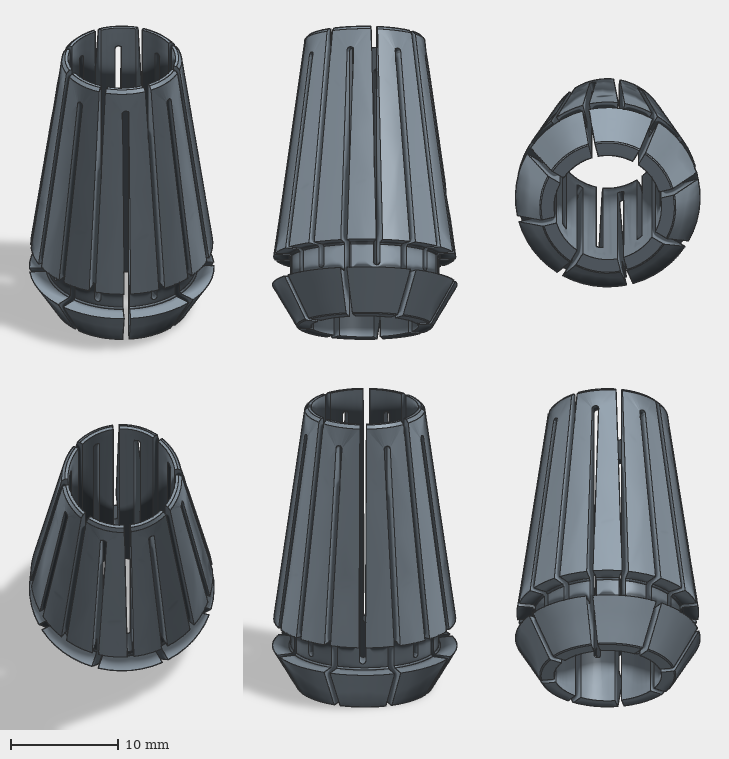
import cadquery as cq
import math

total_height = 27.5
bore_radius = 10.0 / 2

head_height = 3.95
head_rim_radius = 17.25 / 2
base_radius = 6.3
base_edge_break = 0.08

groove_top = 6.63
groove_radius = 13.83 / 2
groove_corner = 0.16

taper_bottom_radius = 8.5
taper_angle = 8.0
top_chamfer_height = 0.3
top_face_radius = 5.3

slots_per_end = 8
slot_width = 0.6
lower_slot_end = 25.46
upper_slot_end = 4.5

slot_pitch = 360.0 / slots_per_end
cutter_overrun = 0.28
slot_length = head_rim_radius + cutter_overrun


def make_body():
    """Revolve the half section of the collet about Z."""
    head_slope = (head_rim_radius - base_radius) / head_height
    taper_slope = math.tan(math.radians(taper_angle))
    chamfer_start = total_height - top_chamfer_height
    taper_top_radius = taper_bottom_radius - (chamfer_start - groove_top) * taper_slope
    section = (
        cq.Workplane("XZ")
        .moveTo(bore_radius, 0)
        .lineTo(base_radius - base_edge_break, 0)
        .lineTo(base_radius + base_edge_break * head_slope, base_edge_break)
        .lineTo(head_rim_radius, head_height)
        .lineTo(groove_radius + groove_corner, head_height)
        .radiusArc((groove_radius, head_height + groove_corner), -groove_corner)
        .lineTo(groove_radius, groove_top - groove_corner)
        .radiusArc((groove_radius + groove_corner, groove_top), -groove_corner)
        .lineTo(taper_bottom_radius, groove_top)
        .lineTo(taper_top_radius, chamfer_start)
        .lineTo(top_face_radius, total_height)
        .lineTo(bore_radius, total_height)
        .close()
    )
    return section.revolve(360, (0, 0), (0, 1))


def make_slot(round_end, open_end, angle):
    """Radial cutter along one angle, from a half-round end to an open end."""
    half_width = slot_width / 2
    toward_open = math.copysign(1, open_end - round_end)
    arc_center = round_end + toward_open * half_width
    return (
        cq.Workplane("YZ")
        .moveTo(-half_width, open_end)
        .lineTo(-half_width, arc_center)
        .threePointArc((0, round_end), (half_width, arc_center))
        .lineTo(half_width, open_end)
        .close()
        .extrude(slot_length)
        .rotate((0, 0, 0), (0, 0, 1), angle)
    )


result = make_body()
for index in range(slots_per_end):
    lower_angle = index * slot_pitch
    upper_angle = lower_angle + slot_pitch / 2
    result = result.cut(make_slot(lower_slot_end, 0, lower_angle))
    result = result.cut(make_slot(upper_slot_end, total_height, upper_angle))